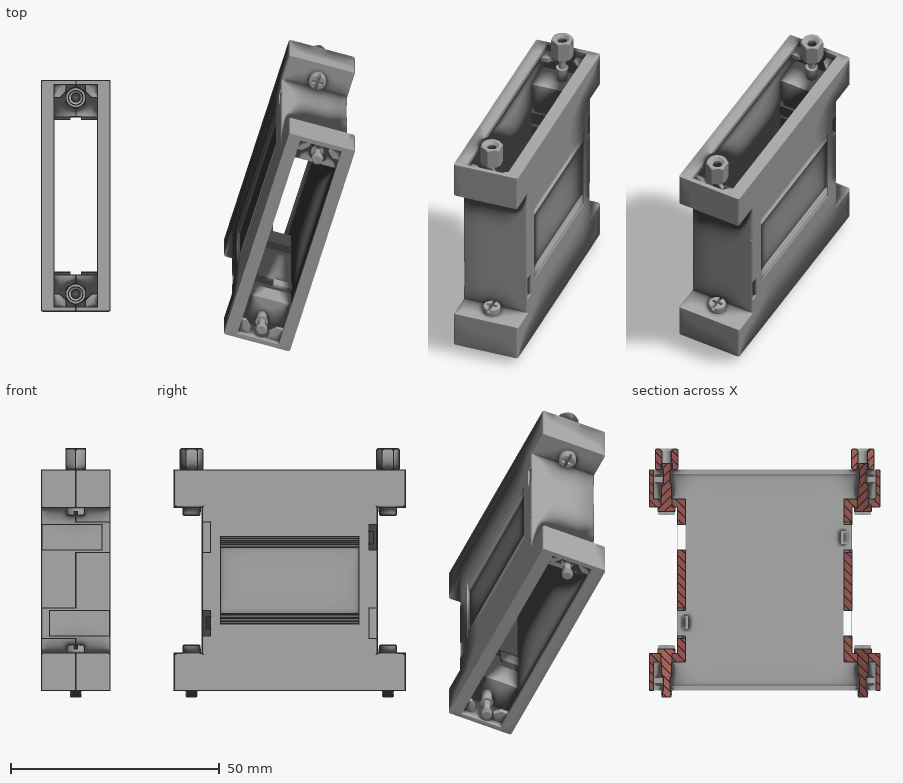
import cadquery as cq
import math

total_height = 59.55
width = 16.5
half_width = width / 2
half_length = 55.4 / 2
screw_tip_length = 1.55
housing_height = 52.9
housing_bottom = screw_tip_length
housing_top = housing_bottom + housing_height
mid_z = housing_bottom + housing_height / 2
half_height = housing_height / 2
flange_height = 9.0
neck_half_length = 21.0
edge_radius = 0.5

mouth_half_width = 5.2
mouth_half_length = 26.6
lip_thickness = 1.0
cavity_half_width = 6.0
cavity_half_length = 18.95
floor_thickness = 2.15
shelf_gap = 0.8
shelf_thickness = 1.15
shelf_width = 2.8
shelf_length = 3.1
shelf_chamfer = 1.4

tab_offset = 10.3
tab_height = 7.3
tab_edge_radius = 0.7
slot_height = 6.0
slot_end = 6.25
slot_skin = 0.2
arm_thickness = 0.65
arm_end = 1.35
barb_offset = 10.2
barb_height = 3.1
barb_depth = 1.15

panel_half_length = 16.6
panel_half_height = 10.5
panel_recess = 0.2
label_top = 7.8
label_bottom = -8.0
label_depth = 0.8
groove_pitch = 0.65
groove_depth = 0.25
groove_land = 0.3
upper_groove_count = 4
lower_groove_count = 3

fastener_y = 23.5
head_radius = 2.1
head_height = 1.9
head_edge = 0.4
drive_width = 0.8
drive_depth = 0.9
cross_half_length = 1.3
shank_radius = 1.25
collar_radius = 1.5
collar_thickness = 0.25
collar_top = 5.7
stem_radius = 0.85
thread_radius = 1.3
thread_root_radius = 1.0
thread_turns = 4
screw_length = flange_height + screw_tip_length
hex_flats = 4.75
hex_height = total_height - housing_top
hex_chamfer = 0.35
bore_radius = 1.1
bore_chamfer = 0.65


def box(x, y, z):
    """Box between two coordinates on each axis."""
    size = [abs(end - start) for start, end in (x, y, z)]
    corner = [min(pair) for pair in (x, y, z)]
    return cq.Workplane("XY").box(*size, centered=False).translate(tuple(corner))


def turned_over(shape):
    """Shape turned half a turn about the X axis through the housing's centre."""
    return shape.rotate((0, 0, mid_z), (1, 0, mid_z), 180)


def half_shell():
    """Solid I-shaped block on the -X side, with its outer side edges rounded."""
    step = half_height - flange_height
    quarter = [
        (half_length, half_height),
        (half_length, step),
        (neck_half_length, step),
    ]
    right_side = quarter + [(y, -z) for y, z in reversed(quarter)]
    left_side = [(-y, -z) for y, z in right_side]
    block = cq.Workplane("YZ").polyline(right_side + left_side).close().extrude(-half_width)
    block = block.edges("<X").edges(
        cq.selectors.BoxSelector(
            (-half_width - 0.6, -half_length - 0.6, -half_height + 0.6),
            (-half_width + 0.6, half_length + 0.6, half_height - 0.6),
        )
    ).fillet(edge_radius)
    return block.translate((0, 0, mid_z))


def cavity():
    """Through passage, end pockets and narrower mouths of the whole housing."""
    passage = box(
        (-cavity_half_width, cavity_half_width),
        (-cavity_half_length, cavity_half_length),
        (housing_bottom + lip_thickness, housing_top - lip_thickness),
    )
    pocket_floor = housing_top - flange_height + floor_thickness
    pocket = box(
        (-cavity_half_width, cavity_half_width),
        (-mouth_half_length, mouth_half_length),
        (pocket_floor, housing_top - lip_thickness),
    )
    mouth = box(
        (-mouth_half_width, mouth_half_width),
        (-mouth_half_length, mouth_half_length),
        (housing_top - lip_thickness, housing_top),
    )
    end = pocket.union(mouth)
    return passage.union(end).union(turned_over(end))


def corner_shelf(side):
    """Shelf below the lip in one upper corner; side is the sign of Y."""
    inner_x = -mouth_half_width + shelf_width
    inner_y = mouth_half_length - shelf_length
    points = [
        (-cavity_half_width, mouth_half_length),
        (inner_x, mouth_half_length),
        (inner_x, inner_y + shelf_chamfer),
        (inner_x - shelf_chamfer, inner_y),
        (-cavity_half_width, inner_y),
    ]
    shelf_top = housing_top - lip_thickness - shelf_gap
    outline = cq.Workplane("XY").polyline([(x, side * y) for x, y in points]).close()
    return outline.extrude(shelf_thickness).translate((0, 0, shelf_top - shelf_thickness))


def tab():
    """Upper tab on the -Y wall, reaching across the seam to the +X face."""
    tab_z = mid_z + tab_offset
    plate = box(
        (-cavity_half_width, half_width),
        (-neck_half_length, -cavity_half_length),
        (tab_z - tab_height / 2, tab_z + tab_height / 2),
    )
    return plate.edges("|Z and >X and <Y").fillet(tab_edge_radius)


def tab_slot():
    """Slot behind the tab's thin outer skin, open at the -X face."""
    tab_z = mid_z + tab_offset
    return box(
        (-half_width, slot_end),
        (-neck_half_length + slot_skin, -cavity_half_length),
        (tab_z - slot_height / 2, tab_z + slot_height / 2),
    )


def tab_notch():
    """Lower notch in the -Y wall that takes the other half's tab."""
    tab_z = mid_z - tab_offset
    return box(
        (-half_width, 0),
        (-neck_half_length, -cavity_half_length),
        (tab_z - tab_height / 2, tab_z + tab_height / 2),
    )


def latch():
    """Lower arm along the -Y wall, with a barb that sits in the other half's slot."""
    barb_bottom = mid_z - barb_offset - barb_height / 2
    arm = box(
        (-cavity_half_width, -arm_end),
        (-cavity_half_length, -cavity_half_length + arm_thickness),
        (barb_bottom, barb_bottom + barb_height),
    )
    barb = (
        cq.Workplane("XY")
        .moveTo(-slot_end, -cavity_half_length)
        .lineTo(-slot_end, -cavity_half_length - barb_depth)
        .lineTo(-slot_end + barb_depth, -cavity_half_length)
        .close()
        .extrude(barb_height)
        .translate((0, 0, barb_bottom))
    )
    return arm.union(barb)


def grip_grooves(top_z, count):
    """V grooves across the panel, one below the other from top_z."""
    surface = -half_width + panel_recess
    grooves = cq.Workplane("XZ")
    for number in range(count):
        start = top_z - number * groove_pitch
        grooves = (
            grooves.moveTo(surface, start)
            .lineTo(surface + groove_depth, start - groove_pitch / 2)
            .lineTo(surface, start - groove_pitch)
            .close()
        )
    return grooves.extrude(panel_half_length, both=True)


def grip_panel():
    """Recessed panel with a deeper label area between two groups of grooves."""
    panel_y = (-panel_half_length, panel_half_length)
    recess = box(
        (-half_width, -half_width + panel_recess),
        panel_y,
        (mid_z - panel_half_height, mid_z + panel_half_height),
    )
    label = box(
        (-half_width, -half_width + label_depth),
        panel_y,
        (mid_z + label_bottom, mid_z + label_top),
    )
    upper_start = mid_z + panel_half_height - groove_land
    lower_end = mid_z - panel_half_height + groove_land
    lower_start = lower_end + lower_groove_count * groove_pitch
    panel = recess.union(label)
    panel = panel.union(grip_grooves(upper_start, upper_groove_count))
    return panel.union(grip_grooves(lower_start, lower_groove_count))


def screw_holes():
    """Holes for the screw shanks through the upper and lower flanges."""
    positions = [(0, -fastener_y), (0, fastener_y)]
    cylinders = cq.Workplane("XY").pushPoints(positions).circle(shank_radius).extrude(housing_height)
    return cylinders.translate((0, 0, housing_bottom))


def housing_half():
    """Half of the housing on the -X side."""
    half = half_shell().cut(cavity())
    for side in (-1, 1):
        shelf = corner_shelf(side)
        half = half.union(shelf).union(turned_over(shelf))
    for place in (lambda shape: shape, turned_over):
        half = half.cut(place(tab_notch()))
        half = half.union(place(tab()))
        half = half.cut(place(tab_slot()))
        half = half.union(place(latch()))
    return half.cut(grip_panel()).cut(screw_holes())


def screw():
    """Screw standing on its seat at Z = 0, its head below and its tip up."""
    stem_top = screw_length - screw_tip_length
    pitch = screw_tip_length / thread_turns
    profile = (
        cq.Workplane("XZ")
        .moveTo(0, -head_height)
        .lineTo(head_radius - head_edge, -head_height)
        .radiusArc((head_radius, -head_height + head_edge), -head_edge)
        .lineTo(head_radius, 0)
        .lineTo(shank_radius, 0)
        .lineTo(shank_radius, collar_top - collar_thickness)
        .lineTo(collar_radius, collar_top - collar_thickness)
        .lineTo(collar_radius, collar_top)
        .lineTo(stem_radius, collar_top)
        .lineTo(stem_radius, stem_top)
        .lineTo(thread_root_radius, stem_top)
    )
    for turn in range(thread_turns):
        start = stem_top + turn * pitch
        profile = profile.lineTo(thread_radius, start + pitch / 2)
        profile = profile.lineTo(thread_root_radius, start + pitch)
    body = profile.lineTo(0, screw_length).close().revolve(360, (0, 0, 0), (0, 1, 0))
    drive_span = (-drive_width / 2, drive_width / 2)
    drive_z = (-head_height, -head_height + drive_depth)
    slot = box(drive_span, (-head_radius, head_radius), drive_z)
    cross_arm = box((-cross_half_length, cross_half_length), drive_span, drive_z)
    return body.cut(slot).cut(cross_arm)


def hex_nut():
    """Hex nut standing on Z = 0, with a stepped bore that takes a screw tip from below."""
    corner_radius = hex_flats / 2 / math.cos(math.pi / 6)
    prism = cq.Workplane("XY").polygon(6, 2 * corner_radius).extrude(hex_height)
    prism = prism.rotate((0, 0, 0), (0, 0, 1), 30)
    rounding = cq.Workplane("XY").circle(corner_radius).extrude(hex_height).edges().chamfer(hex_chamfer)
    nut = prism.intersect(rounding)
    bore = cq.Workplane("XY").circle(bore_radius).extrude(hex_height)
    tip_bore = cq.Workplane("XY").circle(thread_radius).extrude(screw_tip_length)
    countersink = (
        cq.Workplane("XY")
        .workplane(offset=hex_height - bore_chamfer)
        .circle(bore_radius)
        .workplane(offset=bore_chamfer)
        .circle(bore_radius + bore_chamfer)
        .loft(ruled=True)
    )
    return nut.cut(bore).cut(tip_bore).cut(countersink)


left_half = housing_half()
right_half = left_half.rotate((0, 0, 0), (0, 0, 1), 180)

screws = []
hex_nuts = []
for fastener_side in (-1, 1):
    y = fastener_side * fastener_y
    upper_screw = screw().translate((0, y, housing_top - flange_height))
    screws += [upper_screw, turned_over(upper_screw)]
    hex_nuts.append(hex_nut().translate((0, y, housing_top)))

result = cq.Compound.makeCompound(
    [left_half.val(), right_half.val()]
    + [one_screw.val() for one_screw in screws]
    + [one_nut.val() for one_nut in hex_nuts]
)